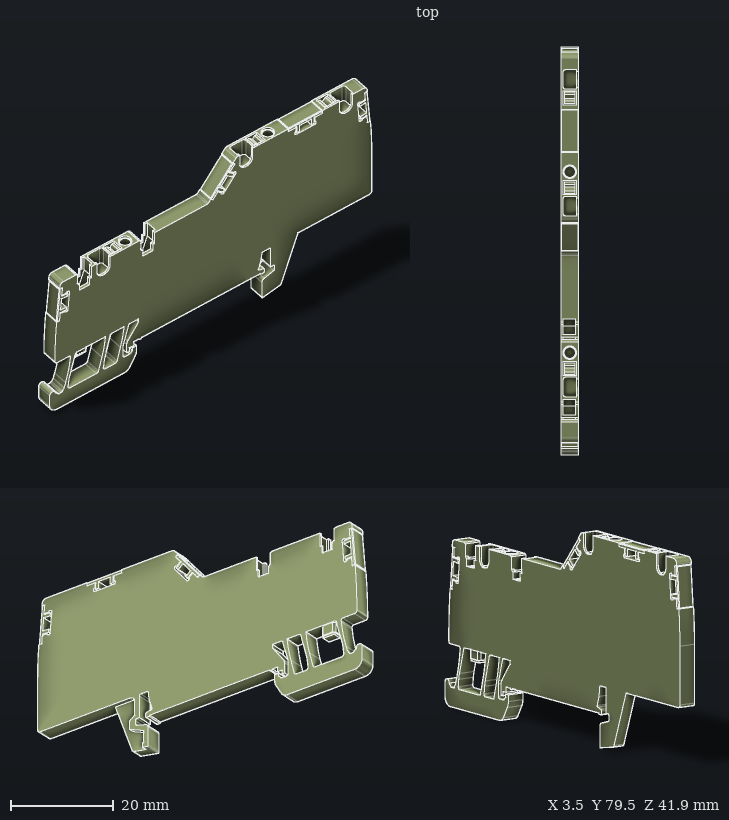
import cadquery as cq
import math

WIDTH = 3.5
LENGTH = 79.45
HALF = WIDTH / 2

HIGH_TOP = 41.9
LOW_TOP = 33.4
UNDERSIDE = 12.5
RAIL_FACE = 7.0

LEAN = 5.0
LEAN_SLOPE = math.tan(math.radians(LEAN))
BEND_RATIO = math.tan(math.radians(LEAN / 2))
HIGH_END_BEND = 24.8
HIGH_END_LEAN = 32.1
LOW_END_Y = 1.3
LOW_END_BEND = 13.2
LOW_END_LEAN = 23.75
high_lean_y = LENGTH - (HIGH_END_LEAN - HIGH_END_BEND) * BEND_RATIO
low_lean_y = LOW_END_Y + (LOW_END_LEAN - LOW_END_BEND) * BEND_RATIO

SLOPE_ANGLE = 50.0
SLOPE_FOOT_Y = 39.0

GUSSET_SETBACK = 1.1

MARKER_LENGTH = 8.4
MARKER_THICKNESS = 0.7
MARKER_CHAMFER = 0.15
LEG_SPAN = 4.3
LEG_THICKNESS = 0.7
LEG_LENGTH = 1.5
NECK_WIDTH = 4.7
NECK_DEPTH = 1.1
CHAMBER_WIDTH = 5.25
CHAMBER_DEPTH = 1.9
CHAMBER_RADIUS = 0.3

TOP_MARKER_Y = 63.1
HIGH_END_MARKER_Z = 36.3
LOW_END_MARKER_Z = 27.65
SLOPE_MARKER_Z = 37.4

NOTCH_STARTS = [25.9, 10.3]
NOTCH_WIDTH = 3.4
NOTCH_STEP_DEPTH = 2.95
NOTCH_DEPTH = 4.6
NOTCH_STEP = 0.5
NOTCH_CORNER = 0.2
NOTCH_LEAD_IN = 0.5
NOTCH_LEAD_IN_DEPTH = 0.2
CORE_OVERHANG = 0.55
CORE_STEP_DEPTH = 3.5
CORE_DEPTH = 7.15
CORE_FLOOR_LENGTH = 1.7
CORE_FLOOR_INSET = 0.95
CORE_WIDTH = 2.4
CORE_X = -0.12

TERMINALS = [
    (69.5, HIGH_TOP, 1, False),
    (52.05, HIGH_TOP, -1, True),
    (16.85, LOW_TOP, -1, True),
]
POCKET_WIDTH = 2.6
POCKET_LENGTH = 2.7
POCKET_DEPTH = 4.0
ENTRY_OFFSET = 3.6
ENTRY_LENGTH = 3.8
ENTRY_RADIUS = 0.55
ENTRY_SLOT = 3.2
TEST_HOLE_OFFSET = 3.1
TEST_HOLE_DIAMETER = 2.2
TEST_HOLE_MOUTH = 2.6
TEST_MOUTH_DEPTH = 0.5

PUSHER_WIDTH = 2.1
PUSHER_LENGTH = 2.2
PUSHER_DROP = 0.2
PUSHER_LAND = 0.5
PUSHER_GROOVE_DEPTH = 0.7
PUSHER_GROOVE_RUN = 0.5

PEG_Y = 8.5
PEG_LENGTH = 3.25
PEG_TIP_LENGTH = 2.7
PEG_X = -0.4
PEG_WIDTH = 2.4
PEG_HEIGHT = 2.6
PEG_CHAMFER = 0.5
PEG_TIP_HEIGHT = 0.5
PEG_TIP_WIDTH = 1.9


def unit_step(start, end):
    """Direction and distance from one point to the next."""
    distance = math.dist(start, end)
    return (end[0] - start[0]) / distance, (end[1] - start[1]) / distance


def rounded_outline(corners):
    """Closed YZ outline through (y, z) or (y, z, radius) corners."""
    outline = None
    for i, corner in enumerate(corners):
        point = corner[:2]
        radius = corner[2] if len(corner) == 3 else 0
        back = unit_step(point, corners[i - 1][:2])
        ahead = unit_step(point, corners[(i + 1) % len(corners)][:2])
        half_angle = math.acos(back[0] * ahead[0] + back[1] * ahead[1]) / 2
        setback = radius / math.tan(half_angle)
        arc_start = (point[0] + back[0] * setback, point[1] + back[1] * setback)
        if outline is None:
            outline = cq.Workplane("YZ").moveTo(*arc_start)
        else:
            outline = outline.lineTo(*arc_start)
        if radius:
            middle_reach = (radius / math.sin(half_angle) - radius) / (2 * math.cos(half_angle))
            middle = tuple(p + (b + a) * middle_reach for p, b, a in zip(point, back, ahead))
            arc_end = (point[0] + ahead[0] * setback, point[1] + ahead[1] * setback)
            outline = outline.threePointArc(middle, arc_end)
    return outline.close()


def plate(corners):
    """Full-width plate with the given YZ corners."""
    return rounded_outline(corners).extrude(HALF, both=True)


def block(width, y_center, length, bottom, top, x_center=0.0):
    """Upright block centred on (x_center, y_center)."""
    sketch = cq.Workplane("XY", origin=(x_center, y_center, bottom)).rect(width, length)
    return sketch.extrude(top - bottom)


def high_end_y(z):
    """Y of the leaning face at the high end."""
    return high_lean_y - (z - HIGH_END_LEAN) * LEAN_SLOPE


def low_end_y(z):
    """Y of the leaning face at the low end."""
    return low_lean_y + (z - LOW_END_LEAN) * LEAN_SLOPE


def slope_y(z):
    """Y of the sloping face."""
    return SLOPE_FOOT_Y + (z - LOW_TOP) / math.tan(math.radians(SLOPE_ANGLE))


MARKER_PLACES = [
    (TOP_MARKER_Y, HIGH_TOP, 0),
    (high_end_y(HIGH_END_MARKER_Z), HIGH_END_MARKER_Z, LEAN - 90),
    (slope_y(SLOPE_MARKER_Z), SLOPE_MARKER_Z, SLOPE_ANGLE),
    (low_end_y(LOW_END_MARKER_Z), LOW_END_MARKER_Z, 90 - LEAN),
]


def put_on_face(shape, place):
    """Turn a flat shape about X and move it onto its face."""
    y, z, angle = place
    return shape.rotate((0, 0, 0), (1, 0, 0), angle).translate((0, y, z))


def flat_marker():
    """Marker plate with a bevelled outer face and two clip legs."""
    body = block(WIDTH, 0, MARKER_LENGTH, -MARKER_THICKNESS, 0)
    body = body.faces(">Z").edges().chamfer(MARKER_CHAMFER)
    leg_y = (LEG_SPAN - LEG_THICKNESS) / 2
    for y in (-leg_y, leg_y):
        leg_bottom = -MARKER_THICKNESS - LEG_LENGTH
        body = body.union(block(WIDTH, y, LEG_THICKNESS, leg_bottom, -MARKER_THICKNESS))
    return body


def flat_marker_recess():
    """Seat for the plate, with a window for the clip legs below it."""
    window_bottom = -MARKER_THICKNESS - CHAMBER_DEPTH
    neck_bottom = -MARKER_THICKNESS - NECK_DEPTH
    seat = block(WIDTH, 0, MARKER_LENGTH, -MARKER_THICKNESS, MARKER_THICKNESS)
    neck = block(WIDTH, 0, NECK_WIDTH, neck_bottom, -MARKER_THICKNESS)
    chamber = block(WIDTH, 0, CHAMBER_WIDTH, window_bottom, neck_bottom)
    chamber = chamber.edges("|X").fillet(CHAMBER_RADIUS)
    return seat.union(neck).union(chamber)


def make_markers():
    """One marker for each of the four places."""
    return [put_on_face(flat_marker(), place) for place in MARKER_PLACES]


def make_pusher(y, top, entry_side):
    """Spring pusher with a screwdriver groove, standing on the floor of its pocket."""
    far_edge = -PUSHER_LENGTH / 2
    near_edge = PUSHER_LENGTH / 2
    face = top - PUSHER_DROP
    floor = top - POCKET_DEPTH
    groove_start = far_edge + PUSHER_LAND
    groove_end = near_edge - PUSHER_LAND
    groove_bottom = groove_start + PUSHER_GROOVE_RUN
    profile = [
        (far_edge, floor),
        (far_edge, face),
        (groove_start, face),
        (groove_bottom, face - PUSHER_GROOVE_DEPTH),
        (groove_end, face),
        (near_edge, face),
        (near_edge, floor),
    ]
    outline = [(y + entry_side * along, z) for along, z in profile]
    return cq.Workplane("YZ").polyline(outline).close().extrude(PUSHER_WIDTH / 2, both=True)


def make_pushers():
    """One pusher for each terminal."""
    return [make_pusher(y, top, side) for y, top, side, _ in TERMINALS]


def main_plate():
    """Full side outline: housing, fixed hook, rail face and springy foot."""
    high_bend_z = (HIGH_END_BEND + HIGH_END_LEAN) / 2
    low_bend_z = (LOW_END_BEND + LOW_END_LEAN) / 2
    high_bend_radius = (HIGH_END_LEAN - HIGH_END_BEND) / math.sin(math.radians(LEAN))
    low_bend_radius = (LOW_END_LEAN - LOW_END_BEND) / math.sin(math.radians(LEAN))
    upper_outline = [
        (LOW_END_Y, UNDERSIDE, 0.55),
        (LOW_END_Y, low_bend_z, low_bend_radius),
        (low_end_y(LOW_TOP), LOW_TOP, 0.9),
        (SLOPE_FOOT_Y, LOW_TOP, 0.4),
        (slope_y(HIGH_TOP), HIGH_TOP, 0.8),
        (high_end_y(HIGH_TOP), HIGH_TOP, 1.1),
        (LENGTH, high_bend_z, high_bend_radius),
        (LENGTH, UNDERSIDE, 0.6),
    ]
    fixed_hook = [
        (61.3, UNDERSIDE),
        (57.05, 1.0, 0.7),
        (52.4, 0.15, 0.15),
        (52.4, 5.0, 0.8),
        (55.5, 5.95, 0.3),
        (55.5, 7.3, 0.3),
        (54.5, 7.3),
        (54.5, UNDERSIDE, 0.3),
    ]
    rail_side = [
        (52.4, UNDERSIDE, 0.3),
        (52.1, 10.3),
        (51.4, 8.2, 0.2),
        (53.0, 7.8, 0.3),
        (53.0, 6.75, 0.2),
        (52.1, 6.75),
        (52.0, RAIL_FACE),
        (22.7, RAIL_FACE),
        (22.5, 6.75),
        (22.2, 6.75),
        (21.9, RAIL_FACE),
        (20.7, RAIL_FACE),
        (20.7, 5.95),
        (19.6, 5.95),
        (19.6, 5.1),
        (19.0, 5.1),
        (19.0, 7.8, 1.2),
        (21.9, 11.7),
        (21.9, UNDERSIDE),
    ]
    springy_foot = [
        (19.55, UNDERSIDE, 0.3),
        (18.1, 7.55, 2.4),
        (18.1, 4.3, 0.5),
        (19.8, 4.3),
        (20.4, 4.85),
        (20.4, 5.6),
        (21.45, 5.6),
        (21.45, 3.6, 2.4),
        (19.3, 0, 1.6),
        (0, 0, 1.8),
        (0, 5.3, 0.6),
        (1.4, 5.3, 0.6),
        (1.4, 4.6),
        (2.15, 3.9),
        (3.0, 3.9, 0.4),
        (3.6, 4.8),
        (4.8, 8.75, 31.8),
        (5.2, UNDERSIDE, 0.4),
    ]
    return plate(upper_outline + fixed_hook + rail_side + springy_foot)


def foot_windows():
    """Two openings between the springy bars of the foot."""
    inner = plate([
        (18.35, UNDERSIDE),
        (15.1, UNDERSIDE, 0.4),
        (13.5, 6.5, 7.95),
        (13.2, 3.9, 0.5),
        (16.5, 3.9, 0.55),
        (18.0, 9.8, 35.75),
    ])
    outer = plate([
        (13.75, UNDERSIDE),
        (6.4, UNDERSIDE, 0.4),
        (4.8, 6.5, 7.95),
        (4.45, 3.9, 0.5),
        (11.9, 3.9, 0.55),
        (13.5, 9.85, 28.6),
    ])
    return inner.union(outer)


def gusset_setback():
    """Cut that sets the hook's gusset back behind its strip."""
    cut = rounded_outline([
        (61.3, UNDERSIDE),
        (61.3, 0),
        (53.8, 0),
        (53.8, 1.35),
        (53.5, 1.6),
        (53.5, 4.05),
        (56.9, 5.5),
        (56.9, 7.4),
        (55.7, 8.3),
        (55.7, UNDERSIDE, 1.2),
    ])
    return cut.extrude(GUSSET_SETBACK).translate((-HALF, 0, 0))


def notch_profile(start):
    """Stepped profile of one bridge notch, from its +Y wall at start."""
    end = start - NOTCH_WIDTH
    step = LOW_TOP - NOTCH_STEP_DEPTH
    floor = LOW_TOP - NOTCH_DEPTH
    return rounded_outline([
        (start, LOW_TOP),
        (start, step),
        (start - NOTCH_STEP, step),
        (start - NOTCH_STEP, floor, NOTCH_CORNER),
        (end + NOTCH_STEP, floor),
        (end + NOTCH_STEP, step - NOTCH_CORNER),
        (end, step + NOTCH_CORNER),
        (end, LOW_TOP - NOTCH_LEAD_IN_DEPTH),
        (end - NOTCH_LEAD_IN, LOW_TOP),
    ])


def notch_core_profile(start):
    """Deeper and longer profile of the notch between the two side walls."""
    end = start - NOTCH_WIDTH
    core_start = start + CORE_OVERHANG
    step = LOW_TOP - CORE_STEP_DEPTH
    floor = LOW_TOP - CORE_DEPTH
    floor_end = end + CORE_FLOOR_INSET
    return rounded_outline([
        (core_start, LOW_TOP),
        (core_start, step),
        (floor_end + CORE_FLOOR_LENGTH, floor),
        (floor_end, floor),
        (floor_end, step),
        (end, step + NOTCH_STEP),
        (end, LOW_TOP),
    ])


def bridge_notch(start):
    """Notch through both side walls, with a deeper core between them."""
    through = notch_profile(start).extrude(HALF, both=True)
    core = notch_core_profile(start).extrude(CORE_WIDTH / 2, both=True)
    return through.union(core.translate((CORE_X, 0, 0)))


def terminal_openings(y, top, side, has_test_hole):
    """Pusher pocket, wire entry open through the +X wall, and optional test hole."""
    floor = top - POCKET_DEPTH
    pocket = block(POCKET_WIDTH, y, POCKET_LENGTH, floor, top)
    entry_y = y + side * ENTRY_OFFSET
    entry = block(POCKET_WIDTH, entry_y, ENTRY_LENGTH, floor, top)
    entry = entry.edges("|Z and <X").fillet(ENTRY_RADIUS)
    slot_radius = ENTRY_SLOT / 2
    slot_outline = (
        cq.Workplane("YZ")
        .moveTo(entry_y - slot_radius, top)
        .lineTo(entry_y - slot_radius, floor + slot_radius)
        .threePointArc((entry_y, floor), (entry_y + slot_radius, floor + slot_radius))
        .lineTo(entry_y + slot_radius, top)
        .close()
    )
    slot = slot_outline.extrude(HALF)
    openings = pocket.union(entry).union(slot)
    if has_test_hole:
        rim = cq.Workplane("XY", origin=(0, y - side * TEST_HOLE_OFFSET, top))
        bore = rim.circle(TEST_HOLE_DIAMETER / 2).extrude(-POCKET_DEPTH)
        mouth = rim.circle(TEST_HOLE_MOUTH / 2).extrude(-TEST_MOUTH_DEPTH)
        openings = openings.union(bore).union(mouth)
    return openings


def peg():
    """Short peg under the housing, with chamfered edges and a narrower tip."""
    shank_bottom = UNDERSIDE - PEG_HEIGHT + PEG_TIP_HEIGHT
    shank = block(PEG_WIDTH, PEG_Y, PEG_LENGTH, shank_bottom, UNDERSIDE, PEG_X)
    shank = shank.edges("|Z").chamfer(PEG_CHAMFER)
    tip_bottom = UNDERSIDE - PEG_HEIGHT
    tip = block(PEG_TIP_WIDTH, PEG_Y, PEG_TIP_LENGTH, tip_bottom, shank_bottom, PEG_X)
    return shank.union(tip)


def make_housing():
    """Terminal block housing with its foot, recesses and openings."""
    body = main_plate().cut(foot_windows()).cut(gusset_setback()).union(peg())
    for place in MARKER_PLACES:
        body = body.cut(put_on_face(flat_marker_recess(), place))
    for start in NOTCH_STARTS:
        body = body.cut(bridge_notch(start))
    for terminal in TERMINALS:
        body = body.cut(terminal_openings(*terminal))
    return body


housing = make_housing()
markers = make_markers()
pushers = make_pushers()

result = cq.Compound.makeCompound([
    housing.val(),
    *[marker.val() for marker in markers],
    *[pusher.val() for pusher in pushers],
])